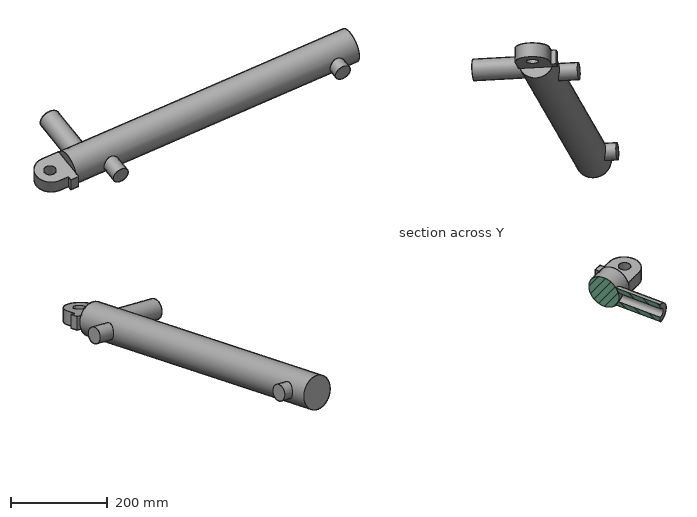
import cadquery as cq

total_length = 755.0

barrel_diameter = 75.0
barrel_front = 75.0
barrel_radius = barrel_diameter / 2
barrel_length = total_length - barrel_front

side_pipe_diameter = 45.0
side_pipe_bore = 21.0
side_pipe_reach = 138.0
side_pipe_y = 113.0

stud_diameter = 36.0
front_stud = (158.5, 75.0)
rear_stud = (702.0, 59.0)

lug_thickness = 30.0
lug_width = 72.0
lug_nose_radius = lug_width / 2
lug_center_x = -1.0
lug_nose_y = lug_nose_radius
lug_hole_diameter = 26.0
lug_hole_y = 32.5
tab_reach = 45.0
tab_length = 19.0


def radial_cylinder(diameter, y, start_x, end_x):
    """Cylinder parallel to X between two X positions, on the barrel's midplane."""
    return (
        cq.Workplane("YZ", origin=(start_x, y, 0))
        .circle(diameter / 2)
        .extrude(end_x - start_x)
    )


def make_barrel_cylinder():
    """Plain barrel cylinder."""
    return (
        cq.Workplane("XZ", origin=(0, barrel_front, 0))
        .circle(barrel_radius)
        .extrude(-barrel_length)
    )


def make_lug():
    """Flat lug standing on the barrel's front face, with a pin hole through Z."""
    left_edge = lug_center_x - lug_nose_radius
    right_edge = lug_center_x + lug_nose_radius
    tab_front = barrel_front - tab_length
    plate = (
        cq.Workplane("XY", origin=(0, 0, -lug_thickness / 2))
        .moveTo(left_edge, barrel_front)
        .lineTo(left_edge, lug_nose_y)
        .threePointArc((lug_center_x, lug_nose_y - lug_nose_radius), (right_edge, lug_nose_y))
        .lineTo(right_edge, tab_front)
        .lineTo(tab_reach, tab_front)
        .lineTo(tab_reach, barrel_front)
        .close()
        .extrude(lug_thickness)
    )
    pin_hole = (
        cq.Workplane("XY", origin=(0, lug_hole_y, -lug_thickness / 2))
        .circle(lug_hole_diameter / 2)
        .extrude(lug_thickness)
    )
    return plate.cut(pin_hole)


def make_barrel():
    """Barrel in one piece with its two studs and the lug."""
    barrel = make_barrel_cylinder()
    for stud_y, stud_reach in (front_stud, rear_stud):
        barrel = barrel.union(radial_cylinder(stud_diameter, stud_y, 0, stud_reach))
    return barrel.union(make_lug())


def make_side_pipe():
    """Bored pipe whose inner end is saddled to the barrel's round surface."""
    pipe = radial_cylinder(side_pipe_diameter, side_pipe_y, -side_pipe_reach, 0)
    bore = radial_cylinder(side_pipe_bore, side_pipe_y, -side_pipe_reach, 0)
    return pipe.cut(bore).cut(make_barrel_cylinder())


barrel = make_barrel()
side_pipe = make_side_pipe()

result = cq.Compound.makeCompound([barrel.val(), side_pipe.val()])